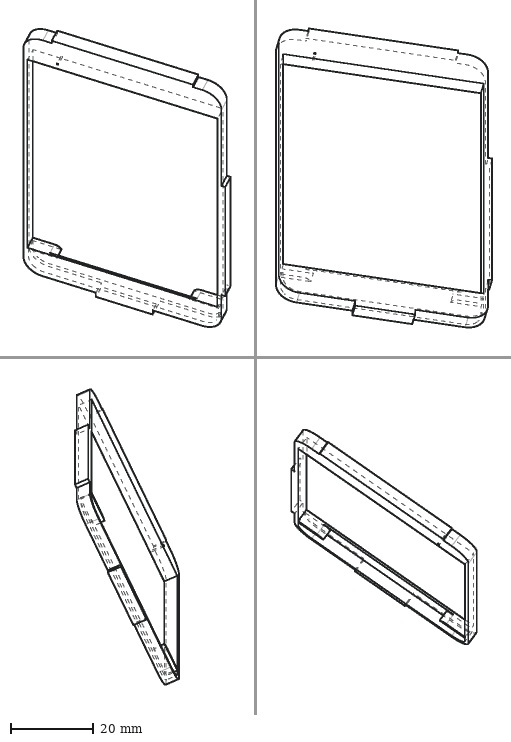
import cadquery as cq
import math

total_width = 53.0
depth = 3.5
total_height = 90.4

top_tab_height = 0.9
top_tab_width = 37.05
bottom_tab_height = 1.5
bottom_tab_width = 14.9
bottom_tab_offset = 0.45
side_tab_width = 1.0
side_tab_bottom = 15.3
side_tab_length = 40.7

corner_radius = 5.1
wall = 1.1
top_border = 8.95
bottom_border = 8.9

front_skin = 0.59
shelf_flat = 5.6
shelf_tip_radius = 2.3

pinhole_diameter = 0.4
pinhole_from_left = 8.95
pinhole_from_top = 7.1

left = -total_width / 2
right = total_width / 2 - side_tab_width
bottom = -total_height / 2 + bottom_tab_height
top = total_height / 2 - top_tab_height
front = -depth / 2
back = depth / 2
middle = (left + right) / 2
window_left = left + wall
window_right = right - wall
window_bottom = bottom + bottom_border
window_top = top - top_border


def block(x_min, x_max, z_min, z_max, y_min=front, y_max=back):
    """Axis-aligned block between the given limits."""
    size = (x_max - x_min, y_max - y_min, z_max - z_min)
    return cq.Workplane("XY").box(*size, centered=False).translate((x_min, y_min, z_min))


def shelf(x_wall, inward):
    """Shelf along the window sill, reaching inward from a side wall to a rounded tip."""
    underside = window_bottom - wall
    center_z = window_bottom - shelf_tip_radius
    flat_end = x_wall + inward * shelf_flat
    tip_reach = math.sqrt(shelf_tip_radius**2 - (underside - center_z) ** 2)
    half_angle = math.atan2(tip_reach, underside - center_z) / 2
    arc_middle = (
        flat_end + inward * shelf_tip_radius * math.sin(half_angle),
        center_z + shelf_tip_radius * math.cos(half_angle),
    )
    return (
        cq.Workplane("XZ", origin=(0, back, 0))
        .moveTo(x_wall, underside)
        .lineTo(x_wall, window_bottom)
        .lineTo(flat_end, window_bottom)
        .threePointArc(arc_middle, (flat_end + inward * tip_reach, underside))
        .close()
        .extrude(depth - front_skin)
    )


frame = block(left, right, bottom, top).edges("|Y").fillet(corner_radius)
frame = frame.cut(block(window_left, window_right, window_bottom, window_top))

hollow = block(window_left, window_right, bottom + wall, window_bottom, front + front_skin)
hollow = hollow.edges("|Y and <Z").fillet(corner_radius - wall)
frame = frame.cut(hollow)
frame = frame.union(shelf(window_left, 1)).union(shelf(window_right, -1))

top_tab_left = middle - top_tab_width / 2
frame = frame.union(block(top_tab_left, top_tab_left + top_tab_width, top - wall, total_height / 2))
bottom_tab_left = middle + bottom_tab_offset - bottom_tab_width / 2
frame = frame.union(
    block(bottom_tab_left, bottom_tab_left + bottom_tab_width, -total_height / 2, bottom + wall)
)
side_tab_z = side_tab_bottom - total_height / 2
frame = frame.union(block(window_right, total_width / 2, side_tab_z, side_tab_z + side_tab_length))

pinhole = (
    cq.Workplane("XZ", origin=(0, back, 0))
    .center(left + pinhole_from_left, top - pinhole_from_top)
    .circle(pinhole_diameter / 2)
    .extrude(depth)
)

result = frame.cut(pinhole)